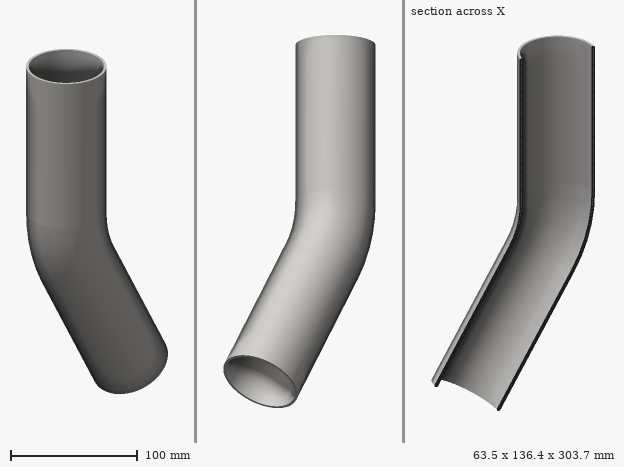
import cadquery as cq
import math

outer_diameter = 63.5
inner_diameter = 59.2
total_height = 303.7
bend_radius = 101.7
bend_angle = 30.0

angle = math.radians(bend_angle)
bend_height = (bend_radius + outer_diameter / 2) * math.sin(angle)
leg_length = (total_height - bend_height) / (1 + math.cos(angle))


def bend_point(turned):
    """Centreline point (Y, Z) after turning by an angle from the upper leg."""
    return (
        bend_radius * (1 - math.cos(turned)),
        -bend_radius * math.sin(turned),
    )


bend_end = bend_point(angle)
lower_end = (
    bend_end[0] + leg_length * math.sin(angle),
    bend_end[1] - leg_length * math.cos(angle),
)
centreline = (
    cq.Workplane("YZ")
    .moveTo(0, leg_length)
    .lineTo(0, 0)
    .threePointArc(bend_point(angle / 2), bend_end)
    .lineTo(*lower_end)
)

result = (
    cq.Workplane("XY")
    .workplane(offset=leg_length)
    .circle(outer_diameter / 2)
    .circle(inner_diameter / 2)
    .sweep(centreline)
)